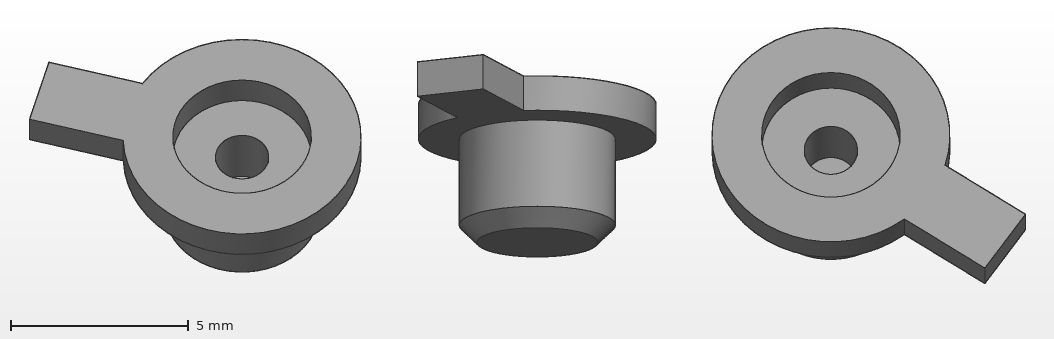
import cadquery as cq

total_height = 4.0
flange_diameter = 6.7
flange_thickness = 1.0
stem_diameter = 4.4
stem_chamfer = 0.5
tab_reach = 5.93
tab_width = 2.04
recess_diameter = 3.9
recess_depth = 1.0
hole_diameter = 1.5
hole_depth = 2.0

flange_bottom = total_height - flange_thickness
recess_floor = total_height - recess_depth
hole_floor = recess_floor - hole_depth


def cylinder(diameter, bottom, height):
    """Upright cylinder on the stem axis."""
    return cq.Workplane("XY").workplane(offset=bottom).circle(diameter / 2).extrude(height)


def make_stem():
    """Round stem with a chamfered lower end."""
    return cylinder(stem_diameter, 0, flange_bottom).faces("<Z").chamfer(stem_chamfer)


def make_flange():
    """Round flange with a flat tab pointing towards -X."""
    disc = cylinder(flange_diameter, flange_bottom, flange_thickness)
    tab = (
        cq.Workplane("XY")
        .workplane(offset=flange_bottom)
        .center(-tab_reach / 2, 0)
        .rect(tab_reach, tab_width)
        .extrude(flange_thickness)
    )
    return disc.union(tab)


recess = cylinder(recess_diameter, recess_floor, recess_depth)
hole = cylinder(hole_diameter, hole_floor, hole_depth)

result = make_stem().union(make_flange()).cut(recess).cut(hole)